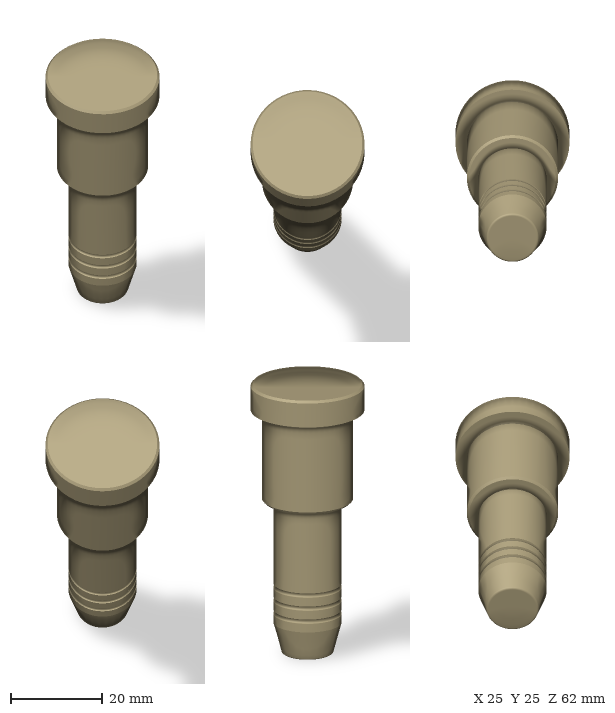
import cadquery as cq
import math

total_length = 62.0
head_diameter = 25.0
head_height = 6.0
body_diameter = 20.0
body_length = 20.95
pin_diameter = 15.0
neck_diameter = 14.0
neck_length = 1.0
tip_length = 7.0
tip_half_angle = 15.0

rim_chamfer = 0.5
tip_edge_radius = 0.5

groove_radius = 0.5
groove_count = 3
groove_row_length = 6.0
lowest_groove_offset = 2.5

head_bottom = total_length - head_height
body_bottom = head_bottom - body_length
pin_top = body_bottom - neck_length
groove_pitch = groove_row_length / (groove_count - 1)
tip_end_radius = pin_diameter / 2 - tip_length * math.tan(math.radians(tip_half_angle))


def cylinder(diameter, bottom, top):
    """Upright cylinder on the Z axis."""
    return cq.Workplane("XY").workplane(offset=bottom).circle(diameter / 2).extrude(top - bottom)


def groove_ring(diameter, height):
    """Ring that cuts a half-round groove into a cylinder of the given diameter."""
    centre = cq.Vector(0, 0, height)
    return cq.Workplane("XY").add(cq.Solid.makeTorus(diameter / 2, groove_radius, centre, cq.Vector(0, 0, 1)))


head = cylinder(head_diameter, head_bottom, total_length).faces(">Z").edges().chamfer(rim_chamfer)

body = cylinder(body_diameter, body_bottom, head_bottom).faces("<Z").edges().chamfer(rim_chamfer)
body = body.cut(groove_ring(body_diameter, head_bottom - groove_radius))

neck = cylinder(neck_diameter, pin_top, body_bottom)
pin = cylinder(pin_diameter, tip_length, pin_top)
tip = cq.Workplane("XY").add(cq.Solid.makeCone(tip_end_radius, pin_diameter / 2, tip_length))
tip = tip.faces("<Z").edges().fillet(tip_edge_radius)

for index in range(groove_count):
    groove_height = tip_length + lowest_groove_offset + index * groove_pitch
    pin = pin.cut(groove_ring(pin_diameter, groove_height))

result = head.union(body).union(neck).union(pin).union(tip)